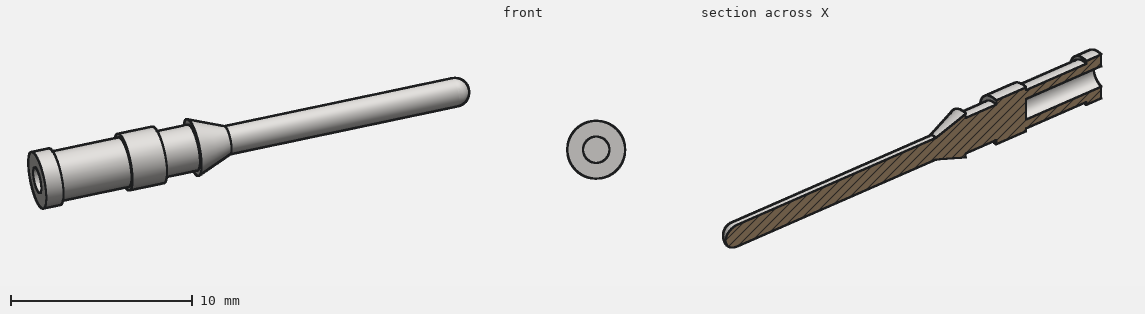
import cadquery as cq

overall_length = 25.0

rim_diameter = 3.2
barrel_diameter = 2.8
collar_diameter = 3.2
neck_diameter = 2.6
shoulder_diameter = 3.2
pin_diameter = 1.6
bore_diameter = 1.45

rim_length = 1.0
barrel_length = 4.0
collar_length = 2.0
neck_length = 2.0
shoulder_length = 2.0
bore_depth = rim_length + barrel_length

rim_end = rim_length
barrel_end = rim_end + barrel_length
collar_end = barrel_end + collar_length
neck_end = collar_end + neck_length
shoulder_end = neck_end + shoulder_length


def cylinder(diameter, start, end):
    """Solid cylinder on the Y axis between two positions."""
    return (
        cq.Workplane("XZ", origin=(0, start, 0))
        .circle(diameter / 2)
        .extrude(start - end)
    )


def tapered_shoulder():
    """Cone that narrows from the neck side down to the pin."""
    return (
        cq.Workplane("XY")
        .moveTo(0, neck_end)
        .lineTo(shoulder_diameter / 2, neck_end)
        .lineTo(pin_diameter / 2, shoulder_end)
        .lineTo(0, shoulder_end)
        .close()
        .revolve(360, (0, 0, 0), (0, 1, 0))
    )


def round_nosed_pin():
    """Contact pin that ends in a hemisphere."""
    nose_radius = pin_diameter / 2
    nose_start = overall_length - nose_radius
    nose = cq.Workplane("XY", origin=(0, nose_start, 0)).sphere(nose_radius)
    return cylinder(pin_diameter, shoulder_end, nose_start).union(nose)


body = cylinder(rim_diameter, 0, rim_end)
body = body.union(cylinder(barrel_diameter, rim_end, barrel_end))
body = body.union(cylinder(collar_diameter, barrel_end, collar_end))
body = body.union(cylinder(neck_diameter, collar_end, neck_end))

body = body.union(tapered_shoulder())
body = body.union(round_nosed_pin())

result = body.cut(cylinder(bore_diameter, 0, bore_depth))